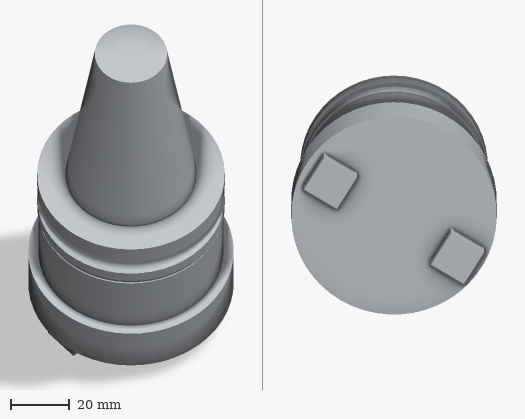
import cadquery as cq

total_height = 138.2
head_bottom = 6.6
head_top = 24.9
body_top = 49.0
relief_top = 50.3
lower_flange_bottom = 51.0
lower_flange_top = 55.3
groove_bottom = 56.9
groove_top = 60.4
upper_flange_bottom = 62.2
flange_face = 69.1
taper_start = 69.8

head_radius = 35.0
body_radius = 31.5
relief_radius = 31.0
flange_radius = 31.9
groove_radius = 28.0
taper_large_radius = 22.2
taper_small_radius = 12.3

key_width = 13.1
key_length = 13.1
key_outer_reach = flange_radius
key_overlap = 1.4


def turned_body():
    """Revolve the half profile of the tool holder about Z."""
    profile = [
        (0, head_bottom),
        (head_radius, head_bottom),
        (head_radius, head_top),
        (body_radius, head_top),
        (body_radius, body_top),
        (relief_radius, body_top),
        (relief_radius, relief_top),
        (flange_radius, lower_flange_bottom),
        (flange_radius, lower_flange_top),
        (groove_radius, groove_bottom),
        (groove_radius, groove_top),
        (flange_radius, upper_flange_bottom),
        (flange_radius, flange_face),
        (taper_large_radius, flange_face),
        (taper_large_radius, taper_start),
        (taper_small_radius, total_height),
        (0, total_height),
    ]
    return cq.Workplane("XZ").polyline(profile).close().revolve(360, (0, 0), (0, 1))


def drive_key(side):
    """Rectangular key on the +Y (side = 1) or -Y (side = -1) edge of the head."""
    key_center = side * (key_outer_reach - key_length / 2)
    return (
        cq.Workplane("XY")
        .center(0, key_center)
        .rect(key_width, key_length)
        .extrude(head_bottom + key_overlap)
    )


result = turned_body()
for side in (-1, 1):
    result = result.union(drive_key(side))